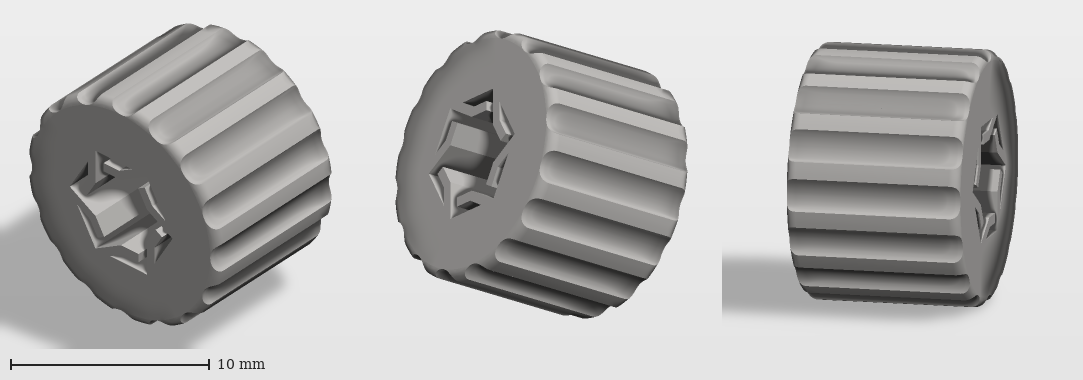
import cadquery as cq
import math

body_radius = 6.5
body_length = 9.0
rim_fillet = 0.5

flute_count = 16
flute_radius = 1.0
end_face_radius = body_radius - rim_fillet
flute_center_radius = end_face_radius + flute_radius

finger_count = 6
bend_radius = 2.0
finger_thickness = 0.5
finger_reach = 1.17
arm_angle = math.pi / finger_count
socket_inradius = bend_radius / (1 - math.tan(arm_angle) ** 2)
socket_circumradius = socket_inradius / math.cos(arm_angle)


def along_axis(outline):
    """Extrude the pending XZ outline over the body length, centred on Y = 0."""
    return outline.extrude(body_length / 2, both=True)


def knob_body():
    body = along_axis(cq.Workplane("XZ").circle(body_radius))
    return body.faces("|Y").edges().fillet(rim_fillet)


def flutes():
    sketch = cq.Workplane("XZ").polarArray(flute_center_radius, 0, 360, flute_count)
    return along_axis(sketch.circle(flute_radius))


def finger():
    """Bent strip rooted at a socket corner, its free end parallel to a socket flat."""
    slope = math.tan(arm_angle)
    outer_height = bend_radius + finger_thickness
    outer_bend_x = -finger_thickness * math.tan(arm_angle / 2)
    corner_x = socket_circumradius * math.sin(arm_angle)
    outer_root_x = outer_bend_x + (socket_inradius - outer_height) / slope
    outline = [
        (0, bend_radius),
        (corner_x, socket_inradius),
        (outer_root_x, socket_inradius),
        (outer_bend_x, outer_height),
        (-finger_reach, outer_height),
        (-finger_reach, bend_radius),
    ]
    return along_axis(cq.Workplane("XZ").polyline(outline).close())


def socket():
    """Hexagonal through opening, less the fingers that stay as material."""
    opening = along_axis(cq.Workplane("XZ").polygon(finger_count, 2 * socket_circumradius))
    one_finger = finger()
    for index in range(finger_count):
        turn = index * 360 / finger_count
        opening = opening.cut(one_finger.rotate((0, 0, 0), (0, 1, 0), turn))
    return opening


result = knob_body().cut(flutes()).cut(socket())